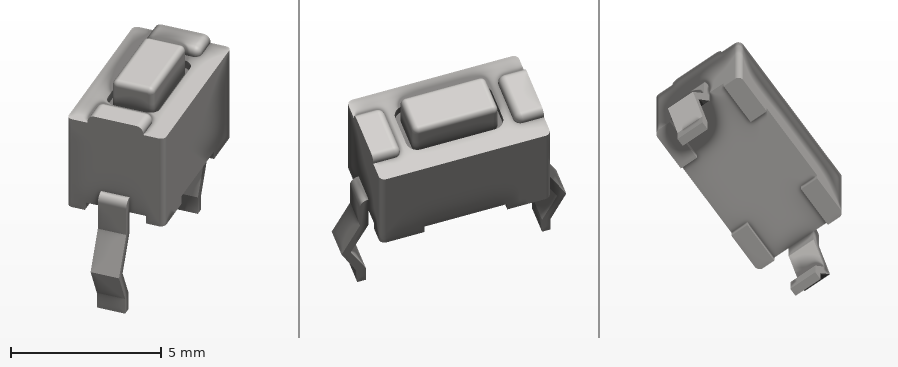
import cadquery as cq

body_width = 3.5
body_length = 6.005
body_height = 3.5
body_corner_radius = 0.2

channel_depth = 0.3
long_channel_width = 2.19
cross_channel_width = 2.91

pad_width = 2.0
pad_length = 1.0
pad_height = 0.3
pad_radius = 0.25

button_width = 1.5
button_length = 3.0
button_rise = 0.8
button_radius = 0.2
well_gap = 0.2
well_depth = 0.3
well_corner_radius = button_radius + well_gap

leg_width = 1.02
leg_thickness = 0.3
leg_top = 0.9
leg_bottom = -3.5
upper_bend_outer = -0.42
upper_bend_inner = -0.49
knee_height = -1.75
knee_outer = 3.95
knee_inner = 3.63
lower_bend_outer = -2.915
lower_bend_inner = -2.845
tip_inner = 3.1


def plain_block(width, length, height, base):
    """Block centred on the Z axis, rising from the base height."""
    return cq.Workplane("XY").workplane(offset=base).rect(width, length).extrude(height)


def make_body():
    """Rounded body with two channels crossing its underside."""
    body = plain_block(body_width, body_length, body_height, 0).edges("|Z").fillet(body_corner_radius)
    body = body.cut(plain_block(long_channel_width, body_length, channel_depth, 0))
    return body.cut(plain_block(body_width, cross_channel_width, channel_depth, 0))


def make_pad():
    """Pad at the -Y end: its inner corners and all top edges but the outer one are rounded."""
    pad = plain_block(pad_width, pad_length, 2 * pad_height, body_height - pad_height)
    pad = pad.edges("|Z and >Y").fillet(pad_radius)
    pad = pad.faces(">Z").edges("not <Y").fillet(pad_radius)
    return pad.translate((0, (pad_length - body_length) / 2, 0))


def make_well():
    """Recess around the button."""
    well = plain_block(
        button_width + 2 * well_gap,
        button_length + 2 * well_gap,
        well_depth,
        body_height - well_depth,
    )
    return well.edges("|Z").fillet(well_corner_radius)


def make_button():
    """Button rising from the floor of the well."""
    button = plain_block(
        button_width, button_length, well_depth + button_rise, body_height - well_depth
    )
    return button.edges("|Z").fillet(button_radius).faces(">Z").edges().fillet(button_radius)


def make_leg():
    """Terminal at the +Y end, bent outwards to a knee and back to its tip."""
    wall = body_length / 2
    tip_outer = tip_inner + leg_thickness
    profile = (
        cq.Workplane("YZ")
        .moveTo(wall, leg_top)
        .radiusArc((wall + leg_thickness, leg_top - leg_thickness), leg_thickness)
        .lineTo(wall + leg_thickness, upper_bend_outer)
        .lineTo(knee_outer, knee_height)
        .lineTo(tip_outer, lower_bend_outer)
        .lineTo(tip_outer, leg_bottom)
        .lineTo(tip_inner, leg_bottom)
        .lineTo(tip_inner, lower_bend_inner)
        .lineTo(knee_inner, knee_height)
        .lineTo(wall, upper_bend_inner)
        .close()
    )
    return profile.extrude(leg_width / 2, both=True)


result = make_body().cut(make_well()).union(make_button())
for end_feature in (make_pad(), make_leg()):
    result = result.union(end_feature).union(end_feature.mirror("XZ"))